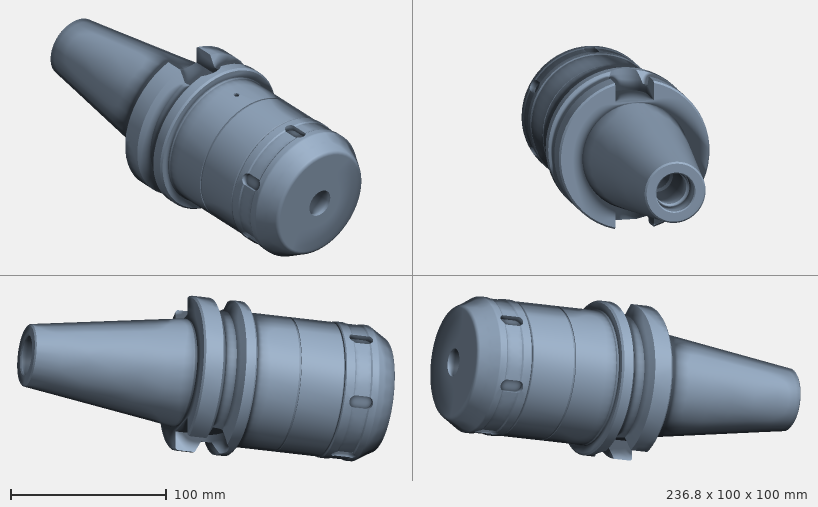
import cadquery as cq


total_length = 236.8
flange_diameter = 100.0

taper_length = 101.8
gauge_diameter = 69.9
taper_rate = 7 / 24
small_end_diameter = gauge_diameter - taper_rate * taper_length
small_end_chamfer = 1.0
neck_diameter = 69.0
neck_start = 103.0
neck_floor_start = 103.5

flange_start = 104.5
flange_end = 140.2
flange_chamfer = 1.2
groove_start = 117.2
groove_floor_start = 121.5
groove_floor_end = 128.3
groove_end = 132.5
groove_diameter = 85.0

drive_slot_count = 2
drive_slot_width = 25.5
drive_slot_end = 135.7
drive_slot_floor = 35.5

collar_diameter = 88.0
collar_end = 141.8
body_diameter = 87.0
body_end = 200.8
body_end_chamfer = 0.7
mark_groove_center = 171.0
mark_groove_width = 1.5
mark_groove_diameter = 85.5

nut_start = 201.3
nut_neck_diameter = 82.9
nut_diameter = 88.0
nut_chamfer = 0.7
band_start = 207.5
band_end = 219.3
band_slope = 1.0
nose_start = 223.5
nose_corner_diameter = 72.5
nose_shoulder_fillet = 2.0
nose_end_fillet = 3.0

wrench_slot_count = 6
wrench_slot_start = 205.3
wrench_slot_end = 221.2
wrench_slot_width = 8.0
wrench_slot_floor = 39.8

side_hole_position = 157.0
side_hole_diameter = 3.3
side_hole_mouth_diameter = 4.0
side_hole_depth = 4.7

mouth_diameter = 26.5
pilot_diameter = 25.0
pilot_depth = 12.5
thread_mouth_diameter = 24.0
thread_diameter = 21.3
thread_depth = 47.4
through_diameter = 18.0


def outer_stations():
    """Turned outside as (position, diameter) pairs from the small end to the nose."""
    return [
        (0, small_end_diameter - 2 * small_end_chamfer),
        (small_end_chamfer, small_end_diameter + taper_rate * small_end_chamfer),
        (taper_length, gauge_diameter),
        (neck_start, gauge_diameter),
        (neck_floor_start, neck_diameter),
        (flange_start, neck_diameter),
        (flange_start, flange_diameter - 2 * flange_chamfer),
        (flange_start + flange_chamfer, flange_diameter),
        (groove_start, flange_diameter),
        (groove_floor_start, groove_diameter),
        (groove_floor_end, groove_diameter),
        (groove_end, flange_diameter),
        (flange_end - flange_chamfer, flange_diameter),
        (flange_end, flange_diameter - 2 * flange_chamfer),
        (flange_end, collar_diameter),
        (collar_end - (collar_diameter - body_diameter) / 2, collar_diameter),
        (collar_end, body_diameter),
        (mark_groove_center - mark_groove_width / 2, body_diameter),
        (mark_groove_center - mark_groove_width / 2, mark_groove_diameter),
        (mark_groove_center + mark_groove_width / 2, mark_groove_diameter),
        (mark_groove_center + mark_groove_width / 2, body_diameter),
        (body_end - body_end_chamfer, body_diameter),
        (body_end, body_diameter - 2 * body_end_chamfer),
        (body_end, nut_neck_diameter),
        (nut_start, nut_neck_diameter),
        (nut_start, nut_diameter - 2 * nut_chamfer),
        (nut_start + nut_chamfer, nut_diameter),
        (band_start, nut_diameter),
        (band_start + band_slope, body_diameter),
        (band_end - band_slope, body_diameter),
        (band_end, nut_diameter),
        (nose_start, nut_diameter),
        (total_length, nose_corner_diameter),
    ]


def revolved(stations):
    """Solid of revolution about X from (position, diameter) stations, closed along the axis."""
    start = (stations[0][0], 0)
    end = (stations[-1][0], 0)
    outline = [start] + [(position, diameter / 2) for position, diameter in stations] + [end]
    return cq.Workplane("XY").polyline(outline).close().revolve(360, (0, 0, 0), (1, 0, 0))


def rim_at(position):
    """Selector for the circular edge centred at a position on the axis."""
    slack = 0.02
    return cq.selectors.BoxSelector((position - slack, -slack, -slack), (position + slack, slack, slack))


def turned_body():
    return (
        revolved(outer_stations())
        .edges(rim_at(total_length))
        .fillet(nose_end_fillet)
        .edges(rim_at(nose_start))
        .fillet(nose_shoulder_fillet)
    )


def axial_bore():
    mouth_chamfer = (mouth_diameter - pilot_diameter) / 2
    thread_chamfer = (thread_mouth_diameter - thread_diameter) / 2
    drill_cone = (thread_diameter - through_diameter) / 2
    return revolved([
        (0, mouth_diameter),
        (mouth_chamfer, pilot_diameter),
        (pilot_depth, pilot_diameter),
        (pilot_depth, thread_mouth_diameter),
        (pilot_depth + thread_chamfer, thread_diameter),
        (thread_depth, thread_diameter),
        (thread_depth + drill_cone, through_diameter),
        (total_length, through_diameter),
    ])


def drive_slot():
    """Round-ended slot cut from the flange face, above the +Z slot floor."""
    radius = drive_slot_width / 2
    arc_center = drive_slot_end - radius
    return (
        cq.Workplane("XY", origin=(0, 0, drive_slot_floor))
        .moveTo(neck_start, -radius)
        .lineTo(arc_center, -radius)
        .threePointArc((drive_slot_end, 0), (arc_center, radius))
        .lineTo(neck_start, radius)
        .close()
        .extrude(flange_diameter / 2)
    )


def wrench_slot():
    center = (wrench_slot_start + wrench_slot_end) / 2
    return (
        cq.Workplane("XY", origin=(center, 0, wrench_slot_floor))
        .slot2D(wrench_slot_end - wrench_slot_start, wrench_slot_width)
        .extrude(nut_diameter / 2)
    )


def side_hole():
    body_radius = body_diameter / 2
    mouth_chamfer = (side_hole_mouth_diameter - side_hole_diameter) / 2
    drill = (
        cq.Workplane("XY", origin=(side_hole_position, 0, body_radius - side_hole_depth))
        .circle(side_hole_diameter / 2)
        .extrude(2 * side_hole_depth)
    )
    mouth = (
        cq.Workplane("XY", origin=(side_hole_position, 0, body_radius - mouth_chamfer))
        .circle(side_hole_mouth_diameter / 2)
        .extrude(side_hole_depth)
    )
    return drill.union(mouth)


def turned_about_axis(shape, count):
    """Copies of a shape spaced evenly around the X axis."""
    return [shape.rotate((0, 0, 0), (1, 0, 0), i * 360 / count) for i in range(count)]


result = turned_body().cut(axial_bore()).cut(side_hole())
for slot in turned_about_axis(drive_slot(), drive_slot_count):
    result = result.cut(slot)
for slot in turned_about_axis(wrench_slot(), wrench_slot_count):
    result = result.cut(slot)